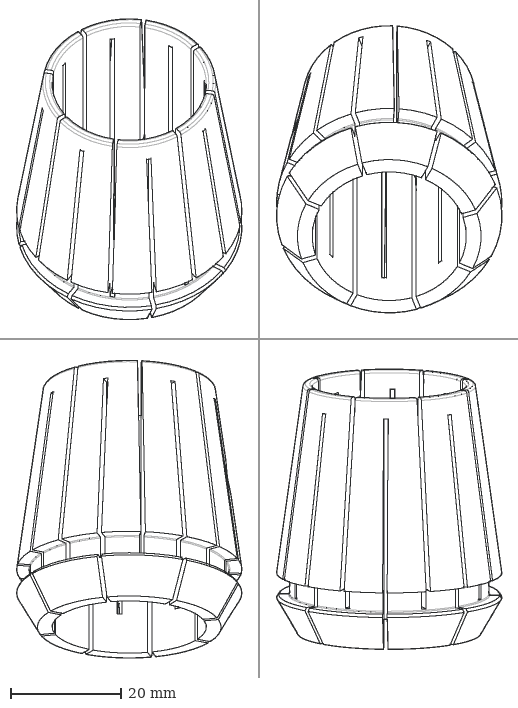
import cadquery as cq
import math

height = 46.0
base_radius = 41.0 / 2
bore_radius = 28.0 / 2
body_taper = 7.9

head_taper = 30.0
head_widest_z = 6.6
head_top_z = 7.15
head_top_radius = 20.1
groove_radius = 18.12
body_bottom_z = 11.15

rim_round = 0.45
groove_round = 0.2

slots_per_end = 8
slot_width = 0.85
bottom_slot_end_z = 42.45
top_slot_floor_z = 7.55
slot_pitch = 360.0 / slots_per_end
slot_length = 1.1 * base_radius


def body_radius(z):
    """Outer radius of the tapered body at height z."""
    return base_radius - (z - body_bottom_z) * math.tan(math.radians(body_taper))


def make_sleeve():
    """Ring-shaped sleeve turned from its half section."""
    head_bottom_radius = base_radius - head_widest_z * math.tan(math.radians(head_taper))
    section = [
        (bore_radius, 0),
        (head_bottom_radius, 0),
        (base_radius, head_widest_z),
        (head_top_radius, head_top_z),
        (groove_radius, head_top_z),
        (groove_radius, body_bottom_z),
        (base_radius, body_bottom_z),
        (body_radius(height), height),
        (bore_radius, height),
    ]
    sleeve = cq.Workplane("XZ").polyline(section).close().revolve(360, (0, 0), (0, 1))
    sleeve = sleeve.faces(">Z").edges().fillet(rim_round)
    groove_reach = groove_radius + groove_round
    groove_corners = cq.selectors.BoxSelector(
        (-groove_reach, -groove_reach, head_top_z - groove_round),
        (groove_reach, groove_reach, body_bottom_z + groove_round),
        boundingbox=True,
    )
    return sleeve.edges("%CIRCLE").edges(groove_corners).fillet(groove_round)


def make_slots(bottom_z, top_z, first_angle):
    """Radial slot cutters between two heights, evenly spaced about Z."""
    blade = (
        cq.Workplane("XY", origin=(0, 0, bottom_z))
        .rect(slot_length, slot_width)
        .extrude(top_z - bottom_z)
        .translate((slot_length / 2, 0, 0))
    )
    cutters = cq.Workplane("XY")
    for index in range(slots_per_end):
        angle = first_angle + index * slot_pitch
        cutters = cutters.add(blade.rotate((0, 0, 0), (0, 0, 1), angle))
    return cutters.combine()


bottom_slots = make_slots(0, bottom_slot_end_z, 0)
top_slots = make_slots(top_slot_floor_z, height, slot_pitch / 2)

result = make_sleeve().cut(bottom_slots).cut(top_slots)